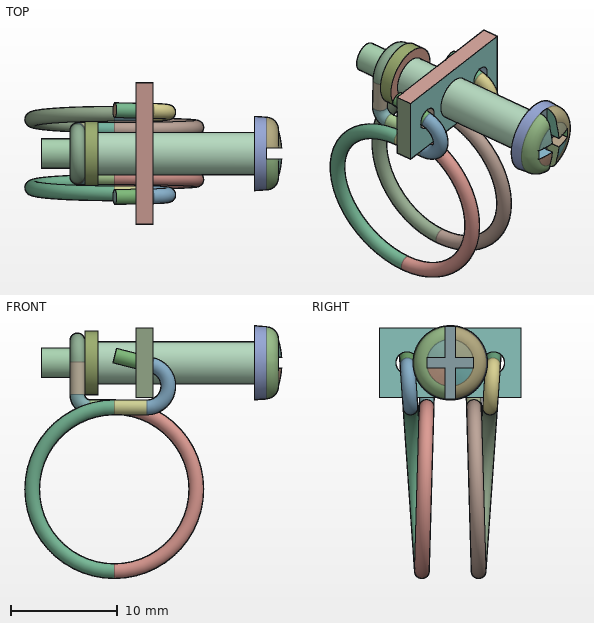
import cadquery as cq
import math


WIRE_DIA = 1.4
WIRE_RADIUS = WIRE_DIA / 2
RING_RADIUS = 7.7
INNER_TILT = math.radians(1.64)
OUTER_TILT = math.radians(4.0)
LEG_BEND_RADIUS = 1.17
HOOK_START_X = 3.05
HOOK_RADIUS = 2.02
TAIL_SLOPE = math.radians(14.4)
TAIL_END_X = 0.05

SCREW_Z = 11.85
TIP_X = -6.84
TIP_RADIUS = 1.4
COLLAR_X = -2.76
COLLAR_THICKNESS = 1.25
COLLAR_RADIUS = 3.0
SHANK_RADIUS = 2.0
HEAD_X = 13.15
HEAD_HEIGHT = 2.6
HEAD_RADIUS = 3.5
RIM_HEIGHT = 1.15
RIM_TOP_RADIUS = 3.42
CROWN_SPHERE_RADIUS = 7.5
CROWN_EDGE_RADIUS = 2.2
ROUND_MID_HEIGHT = 1.94
ROUND_MID_RADIUS = 3.06
SLOT_WIDTH = 1.0
CROSS_ARM_LENGTH = 2 * CROWN_EDGE_RADIUS

PLATE_X = 2.04
PLATE_THICKNESS = 1.6
PLATE_WIDTH = 13.3
PLATE_HEIGHT = 6.55
PLATE_BOTTOM_Z = 8.58
WIRE_HOLE_DIA = 2.05
WIRE_HOLE_Y = 4.06

LOOP_RADIUS = TIP_RADIUS + WIRE_RADIUS
LOOP_X = COLLAR_X - WIRE_RADIUS
AXIS_ABOVE_RING_BOTTOM = SCREW_Z + RING_RADIUS
RING_BOTTOM_Y = (LOOP_RADIUS + AXIS_ABOVE_RING_BOTTOM * math.sin(INNER_TILT)) / math.cos(INNER_TILT)


def tilted_point(lean):
    """Return a mapping (x, height) -> point in the plane hinged along X at the ring bottom."""

    def point(x, height):
        y = RING_BOTTOM_Y + height * math.sin(lean)
        z = -RING_RADIUS + height * math.cos(lean)
        return cq.Vector(x, y, z)

    return point


def line(start, end):
    return cq.Edge.makeLine(start, end)


def arc(start, middle, end):
    return cq.Edge.makeThreePointArc(start, middle, end)


def leg_edges(inner):
    """Leg beside the screw tip, bend and the short straight to the top of the ring."""
    ring_top = 2 * RING_RADIUS
    bend_top = ring_top + LEG_BEND_RADIUS
    bend_x = LOOP_X + LEG_BEND_RADIUS
    bend_inset = LEG_BEND_RADIUS * (1 - math.sqrt(0.5))
    loop_end = cq.Vector(
        LOOP_X,
        LOOP_RADIUS * math.cos(INNER_TILT),
        SCREW_Z + LOOP_RADIUS * math.sin(INNER_TILT),
    )
    leg_end = inner(LOOP_X, bend_top)
    bend_middle = inner(LOOP_X + bend_inset, ring_top + bend_inset)
    bend_end = inner(bend_x, ring_top)
    return [
        line(loop_end, leg_end),
        arc(leg_end, bend_middle, bend_end),
        line(bend_end, inner(0, ring_top)),
    ]


def ring_edges(inner, outer):
    """One turn: down the +X side in the inner plane, up the -X side in the outer plane."""
    ring_top = 2 * RING_RADIUS
    bottom = inner(0, 0)
    return [
        arc(inner(0, ring_top), inner(RING_RADIUS, RING_RADIUS), bottom),
        arc(bottom, outer(-RING_RADIUS, RING_RADIUS), outer(0, ring_top)),
    ]


def hook_edges(outer):
    """Straight from the ring top, the hook and the straight end that passes the plate."""
    ring_top = 2 * RING_RADIUS
    hook_centre = ring_top + HOOK_RADIUS
    hook_end_x = HOOK_START_X + HOOK_RADIUS * math.sin(TAIL_SLOPE)
    hook_end_height = hook_centre + HOOK_RADIUS * math.cos(TAIL_SLOPE)
    tail_rise = (hook_end_x - TAIL_END_X) * math.tan(TAIL_SLOPE)
    hook_start = outer(HOOK_START_X, ring_top)
    hook_side = outer(HOOK_START_X + HOOK_RADIUS, hook_centre)
    hook_end = outer(hook_end_x, hook_end_height)
    tail_end = outer(TAIL_END_X, hook_end_height + tail_rise)
    return [
        line(outer(0, ring_top), hook_start),
        arc(hook_start, hook_side, hook_end),
        line(hook_end, tail_end),
    ]


def make_wire():
    """Sweep the wire section along both mirrored sides and the loop that joins them."""
    inner = tilted_point(-INNER_TILT)
    outer = tilted_point(OUTER_TILT)
    side = leg_edges(inner) + ring_edges(inner, outer) + hook_edges(outer)
    mirrored_side = [edge.mirror("XZ") for edge in side]
    apex = cq.Vector(LOOP_X, 0, SCREW_Z + LOOP_RADIUS)
    loop = arc(mirrored_side[0].startPoint(), apex, side[0].startPoint())
    path = cq.Wire.assembleEdges(mirrored_side[::-1] + [loop] + side)
    section_plane = cq.Plane(origin=side[-1].endPoint(), normal=side[-1].tangentAt(1))
    return cq.Workplane(section_plane).circle(WIRE_RADIUS).sweep(cq.Workplane(obj=path))


def cylinder_along_x(x_start, x_end, radius):
    return cq.Workplane("YZ", origin=(x_start, 0, SCREW_Z)).circle(radius).extrude(x_end - x_start)


def make_head():
    """Rim, rounded edge and spherical crown, turned about the screw axis."""
    top_x = HEAD_X + HEAD_HEIGHT
    rim_x = HEAD_X + RIM_HEIGHT

    def crown_x(radius):
        return top_x - CROWN_SPHERE_RADIUS + math.sqrt(CROWN_SPHERE_RADIUS**2 - radius**2)

    crown_middle = CROWN_EDGE_RADIUS / 2
    head = (
        cq.Workplane("XY", origin=(0, 0, SCREW_Z))
        .moveTo(HEAD_X, 0)
        .lineTo(HEAD_X, HEAD_RADIUS)
        .lineTo(rim_x, RIM_TOP_RADIUS)
        .threePointArc(
            (HEAD_X + ROUND_MID_HEIGHT, ROUND_MID_RADIUS),
            (crown_x(CROWN_EDGE_RADIUS), CROWN_EDGE_RADIUS),
        )
        .threePointArc((crown_x(crown_middle), crown_middle), (top_x, 0))
        .close()
        .revolve(360, (0, 0, 0), (1, 0, 0))
    )
    drive_face = cq.Workplane("YZ", origin=(rim_x, 0, SCREW_Z))
    drive_depth = HEAD_HEIGHT - RIM_HEIGHT
    slot = drive_face.rect(SLOT_WIDTH, 2 * HEAD_RADIUS).extrude(drive_depth)
    cross_arm = drive_face.rect(CROSS_ARM_LENGTH, SLOT_WIDTH).extrude(drive_depth)
    return head.cut(slot).cut(cross_arm)


def make_screw():
    tip = cylinder_along_x(TIP_X, COLLAR_X, TIP_RADIUS)
    collar = cylinder_along_x(COLLAR_X, COLLAR_X + COLLAR_THICKNESS, COLLAR_RADIUS)
    shank = cylinder_along_x(COLLAR_X + COLLAR_THICKNESS, HEAD_X, SHANK_RADIUS)
    return tip.union(collar).union(shank).union(make_head())


def make_nut_plate():
    plate = cq.Workplane("XY", origin=(PLATE_X, 0, PLATE_BOTTOM_Z)).box(
        PLATE_THICKNESS, PLATE_WIDTH, PLATE_HEIGHT, centered=(False, True, False)
    )
    hole_plane = cq.Workplane("YZ", origin=(PLATE_X, 0, SCREW_Z))
    screw_hole = hole_plane.circle(SHANK_RADIUS).extrude(PLATE_THICKNESS)
    wire_holes = (
        hole_plane.pushPoints([(-WIRE_HOLE_Y, 0), (WIRE_HOLE_Y, 0)])
        .circle(WIRE_HOLE_DIA / 2)
        .extrude(PLATE_THICKNESS)
    )
    return plate.cut(screw_hole).cut(wire_holes)


wire = make_wire().solids()
screw = make_screw().solids()
nut_plate = make_nut_plate().solids()

result = cq.Compound.makeCompound([wire.val(), screw.val(), nut_plate.val()])